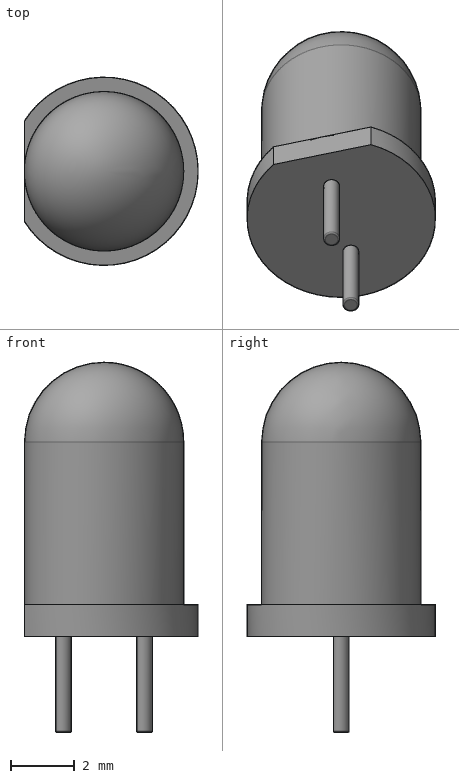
import cadquery as cq

total_height = 11.6

lens_diameter = 5.0
lens_radius = lens_diameter / 2
flange_diameter = 5.9
flange_height = 1.0

lead_diameter = 0.5
lead_length = 3.0
lead_pitch = 2.54
lead_tip_radius = 0.05

lens_height = total_height - lead_length
barrel_height = lens_height - lens_radius


def make_flange():
    """Round flange with a flat on the -X side, tangent to the barrel."""
    disc = cq.Workplane("XY").circle(flange_diameter / 2).extrude(flange_height)
    beyond_flat = (
        cq.Workplane("XY")
        .box(flange_diameter, flange_diameter, flange_height, centered=(True, True, False))
        .translate((-lens_radius - flange_diameter / 2, 0, 0))
    )
    return disc.cut(beyond_flat)


def make_bullet():
    """Barrel and dome, revolved about the Z axis."""
    arc_offset = lens_radius / 2**0.5
    return (
        cq.Workplane("XZ")
        .lineTo(lens_radius, 0)
        .lineTo(lens_radius, barrel_height)
        .threePointArc((arc_offset, barrel_height + arc_offset), (0, lens_height))
        .close()
        .revolve(360, (0, 0, 0), (0, 1, 0))
    )


def make_lens():
    return make_flange().union(make_bullet())


def make_lead(x):
    """Round lead with a rounded tip, ending against the flange underside."""
    return (
        cq.Workplane("XY")
        .center(x, 0)
        .circle(lead_diameter / 2)
        .extrude(-lead_length)
        .faces("<Z")
        .fillet(lead_tip_radius)
    )


lens = make_lens()
leads = [make_lead(side * lead_pitch / 2) for side in (-1, 1)]

result = cq.Compound.makeCompound([lens.val(), *[lead.val() for lead in leads]])